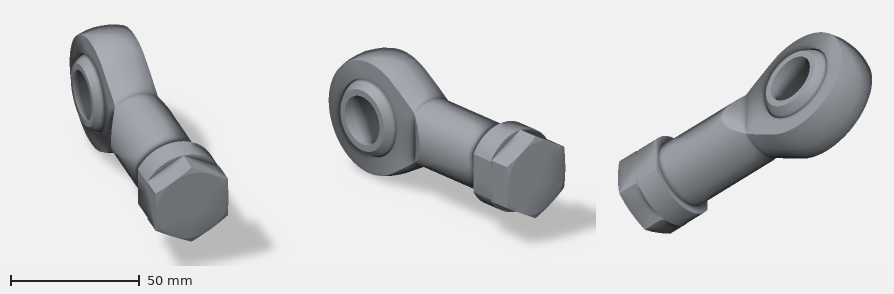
import cadquery as cq
import math


total_length = 112.0
eye_radius = 25.0
eye_thickness = 17.9
shank_diameter = 27.4
neck_angle = math.radians(30)
shank_end = total_length - eye_radius

across_flats = 30.0
collar_diameter = 34.0
hex_length = 10.0
collar_length = 10.0
hex_chamfer = 0.7
hex_start = shank_end - hex_length
collar_start = hex_start - collar_length

ball_radius = 17.8
ball_width = 25.1
ball_bore = 20.0
seat_opening = 31.8

shank_radius = shank_diameter / 2
tangent_x = eye_radius * math.sin(neck_angle)
tangent_radius = eye_radius * math.cos(neck_angle)
neck_end = tangent_x + (tangent_radius - shank_radius) / math.tan(neck_angle)
bevel_end = neck_end + (shank_radius - eye_thickness / 2) / math.tan(neck_angle)


def eye_and_shank():
    """Sphere, neck cone and shank, revolved about X."""
    profile = (
        cq.Workplane("XY")
        .moveTo(-eye_radius, 0)
        .threePointArc((0, eye_radius), (tangent_x, tangent_radius))
        .lineTo(neck_end, shank_radius)
        .lineTo(collar_start, shank_radius)
        .lineTo(collar_start, 0)
        .close()
    )
    return profile.revolve(360, (0, 0, 0), (1, 0, 0))


def flattening_envelope():
    """Limits the eye to its thickness, then widens to the full shank."""
    half_eye = eye_thickness / 2
    return (
        cq.Workplane("XY")
        .moveTo(-eye_radius, half_eye)
        .lineTo(neck_end, half_eye)
        .lineTo(bevel_end, shank_radius)
        .lineTo(collar_start, shank_radius)
        .lineTo(collar_start, -shank_radius)
        .lineTo(bevel_end, -shank_radius)
        .lineTo(neck_end, -half_eye)
        .lineTo(-eye_radius, -half_eye)
        .close()
        .extrude(eye_radius, both=True)
    )


def collar():
    """Round collar with two flats level with the hexagon's flats."""
    disc = cq.Workplane("YZ", origin=(collar_start, 0, 0)).circle(collar_diameter / 2).extrude(collar_length)
    flats = cq.Workplane("YZ", origin=(collar_start, 0, 0)).rect(across_flats, collar_diameter)
    return disc.intersect(flats.extrude(collar_length))


def hexagon():
    """Hexagon with corners up and down, chamfered by a cone at both ends."""
    corner_radius = across_flats / math.sqrt(3)
    flat_radius = across_flats / 2
    prism = (
        cq.Workplane("YZ", origin=(hex_start, 0, 0))
        .transformed(rotate=(0, 0, 90))
        .polygon(6, 2 * corner_radius)
        .extrude(hex_length)
    )
    chamfer_envelope = (
        cq.Workplane("XY")
        .moveTo(hex_start, 0)
        .lineTo(hex_start, flat_radius)
        .lineTo(hex_start + hex_chamfer, corner_radius)
        .lineTo(shank_end - hex_chamfer, corner_radius)
        .lineTo(shank_end, flat_radius)
        .lineTo(shank_end, 0)
        .close()
        .revolve(360, (0, 0, 0), (1, 0, 0))
    )
    return prism.intersect(chamfer_envelope)


def seat_cavity():
    """Spherical seat with a short cylindrical opening at each eye face, revolved about Y."""
    half_eye = eye_thickness / 2
    opening_radius = seat_opening / 2
    seat_edge = math.sqrt(ball_radius**2 - opening_radius**2)
    profile = (
        cq.Workplane("XY")
        .moveTo(0, -half_eye)
        .lineTo(opening_radius, -half_eye)
        .lineTo(opening_radius, -seat_edge)
        .threePointArc((ball_radius, 0), (opening_radius, seat_edge))
        .lineTo(opening_radius, half_eye)
        .lineTo(0, half_eye)
        .close()
    )
    return profile.revolve(360, (0, 0, 0), (0, 1, 0))


def make_housing():
    """Eye, shank, collar and hexagon as one solid, hollowed for the ball."""
    body = eye_and_shank().intersect(flattening_envelope())
    return body.union(collar()).union(hexagon()).cut(seat_cavity())


def make_ball():
    """Truncated sphere with a through bore, revolved about Y."""
    half_width = ball_width / 2
    bore_radius = ball_bore / 2
    face_radius = math.sqrt(ball_radius**2 - half_width**2)
    profile = (
        cq.Workplane("XY")
        .moveTo(bore_radius, -half_width)
        .lineTo(face_radius, -half_width)
        .threePointArc((ball_radius, 0), (face_radius, half_width))
        .lineTo(bore_radius, half_width)
        .close()
    )
    return profile.revolve(360, (0, 0, 0), (0, 1, 0))


housing = make_housing()
ball = make_ball()
result = cq.Compound.makeCompound([housing.solids().val(), ball.solids().val()])